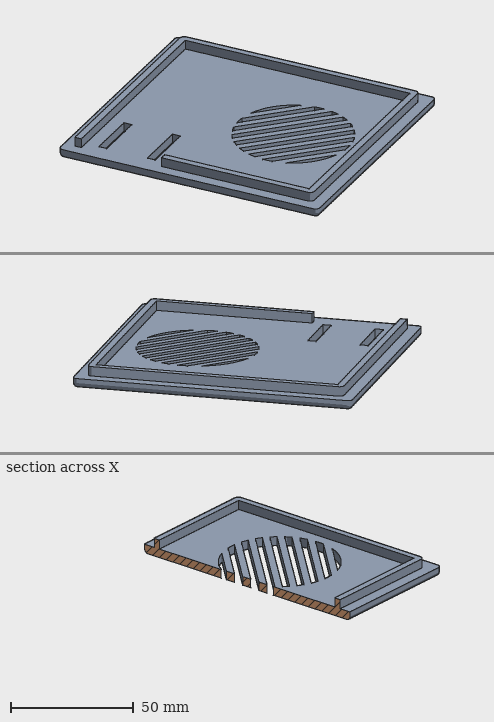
import cadquery as cq

plate_length = 118.0
plate_width = 108.0
plate_thickness = 4.0
total_height = 8.0
edge_radius = 2.0

rim_inset_x = 5.0
rim_inset_y = 5.1
rim_thickness = 3.0
rim_height = total_height - plate_thickness
rim_length = plate_length - 2 * rim_inset_x
rim_width = plate_width - 2 * rim_inset_y
front_rim_distance = 44.4

grille_radius = 25.0
grille_distance = 80.0
slit_width = 3.0
slit_pitch = 6.0
slit_count = 9
slit_angle = 45

slot_width = 3.5
slot_length = 23.0
slot_front_distance = 9.0
slot_distances = (15.7, 37.8)

left_side = -plate_length / 2
front_side = -plate_width / 2


def make_plate():
    """Plate with rounded corners and a rounded bottom edge."""
    plate = cq.Workplane("XY").box(
        plate_length, plate_width, plate_thickness, centered=(True, True, False)
    )
    plate = plate.edges("|Z").fillet(edge_radius)
    return plate.faces("<Z").edges().fillet(edge_radius)


def make_rim():
    """Upright wall with a gap at the front left; the free end of the left wall stays square."""
    base = cq.Workplane("XY", origin=(0, 0, plate_thickness))
    rim = base.rect(rim_length, rim_width).extrude(rim_height)
    rim = rim.edges("|Z and (>X or >Y)").fillet(edge_radius)

    inside_length = rim_length - 2 * rim_thickness
    inside_width = rim_width - 2 * rim_thickness
    inside = base.rect(inside_length, inside_width).extrude(rim_height)

    gap_start = -inside_length / 2
    gap_end = left_side + front_rim_distance
    gap_center = ((gap_start + gap_end) / 2, -(rim_width - rim_thickness) / 2)
    gap = base.center(*gap_center).rect(gap_end - gap_start, rim_thickness).extrude(rim_height)
    return rim.cut(inside).cut(gap)


def make_grille_openings():
    """Evenly spaced diagonal slits trimmed to a circle."""
    middle = (slit_count - 1) / 2
    slit_offsets = [(0, (index - middle) * slit_pitch) for index in range(slit_count)]
    slits = (
        cq.Workplane("XY")
        .pushPoints(slit_offsets)
        .rect(2 * grille_radius, slit_width)
        .extrude(plate_thickness)
        .rotate((0, 0, 0), (0, 0, 1), slit_angle)
    )
    disc = cq.Workplane("XY").circle(grille_radius).extrude(plate_thickness)
    return disc.intersect(slits).translate((left_side + grille_distance, 0, 0))


def make_slot_openings():
    """Straight slots through the plate, parallel to its left side."""
    center_y = front_side + slot_front_distance + slot_length / 2
    centers = [(left_side + distance, center_y) for distance in slot_distances]
    return cq.Workplane("XY").pushPoints(centers).rect(slot_width, slot_length).extrude(plate_thickness)


plate = make_plate().cut(make_grille_openings()).cut(make_slot_openings())
result = plate.union(make_rim())